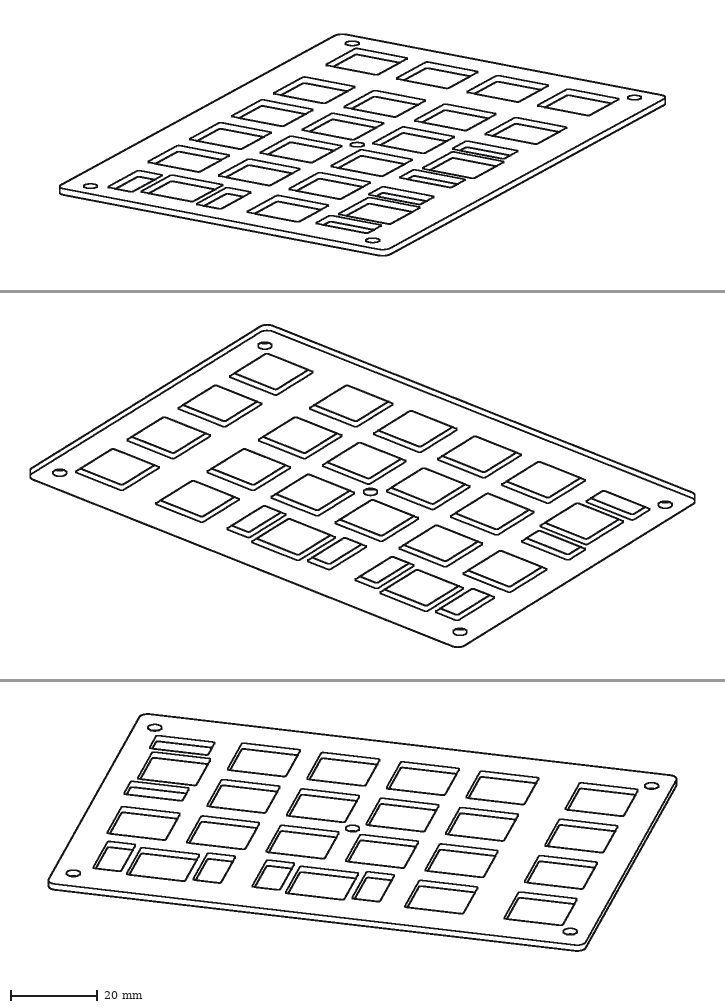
import cadquery as cq

PLATE_WIDTH = 88.9
PLATE_LENGTH = 128.6
PLATE_THICKNESS = 1.5
PLATE_CORNER_RADIUS = 2.0

KEY_PITCH = 19.0
COLUMN_COUNT = 4
ROW_COUNT = 6
TOP_ROW_GAP = KEY_PITCH / 4

SWITCH_SIZE = 14.0
CUTOUT_CORNER_RADIUS = 0.5

STABILIZER_WIDTH = 6.7
STABILIZER_LENGTH = 14.0
STABILIZER_SPACING = 12.0
STABILIZER_OFFSET = 1.2

SCREW_DIAMETER = 3.2

GRID_WIDTH = COLUMN_COUNT * KEY_PITCH
GRID_LENGTH = ROW_COUNT * KEY_PITCH + TOP_ROW_GAP


def column_x(column):
    """X of a column centre; column 0 is the leftmost, halves lie between columns."""
    return (column + 0.5) * KEY_PITCH - GRID_WIDTH / 2


def row_y(row):
    """Y of a row centre; row 0 is the top one, halves lie between rows."""
    gap = TOP_ROW_GAP if row > 0 else 0
    return GRID_LENGTH / 2 - (row + 0.5) * KEY_PITCH - gap


def rounded_cutter(center, size_x, size_y):
    """Rounded rectangular block that cuts through the whole plate."""
    return (
        cq.Workplane("XY")
        .center(*center)
        .rect(size_x, size_y)
        .extrude(PLATE_THICKNESS)
        .edges("|Z")
        .fillet(CUTOUT_CORNER_RADIUS)
    )


single_keys = [(column, row) for row in range(2) for column in range(COLUMN_COUNT)]
single_keys += [(column, row) for row in range(2, 5) for column in range(3)]
single_keys += [(2, 5)]
tall_keys = [(3, 2.5), (3, 4.5)]
wide_keys = [(0.5, 5)]

plate = (
    cq.Workplane("XY")
    .rect(PLATE_WIDTH, PLATE_LENGTH)
    .extrude(PLATE_THICKNESS)
    .edges("|Z")
    .fillet(PLATE_CORNER_RADIUS)
)

for column, row in single_keys + tall_keys + wide_keys:
    plate = plate.cut(rounded_cutter((column_x(column), row_y(row)), SWITCH_SIZE, SWITCH_SIZE))

for side in (-1, 1):
    for column, row in tall_keys:
        center = (column_x(column) - STABILIZER_OFFSET, row_y(row) + side * STABILIZER_SPACING)
        plate = plate.cut(rounded_cutter(center, STABILIZER_LENGTH, STABILIZER_WIDTH))
    for column, row in wide_keys:
        center = (column_x(column) + side * STABILIZER_SPACING, row_y(row) - STABILIZER_OFFSET)
        plate = plate.cut(rounded_cutter(center, STABILIZER_WIDTH, STABILIZER_LENGTH))

screw_points = [(x * GRID_WIDTH / 2, y * GRID_LENGTH / 2) for x in (-1, 1) for y in (-1, 1)]
screw_points.append((0, row_y(2.5)))
screw_cutters = (
    cq.Workplane("XY")
    .pushPoints(screw_points)
    .circle(SCREW_DIAMETER / 2)
    .extrude(PLATE_THICKNESS)
)

result = plate.cut(screw_cutters)